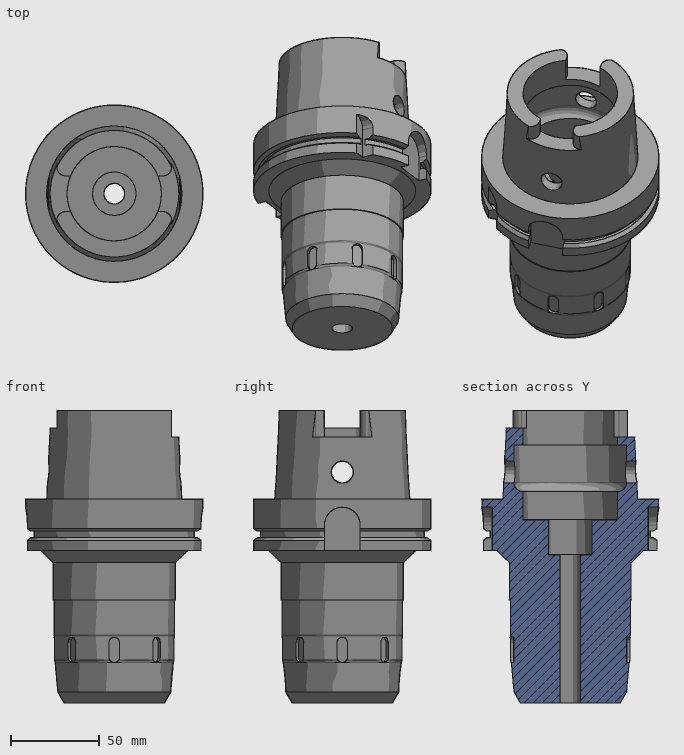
import cadquery as cq
import math


total_length = 165.0
shank_length = 50.0
bottom_z = shank_length - total_length

taper_base_radius = 38.1
taper_top_radius = 35.6
mouth_radius = 26.5
mouth_depth = 19.6
clamp_bore_radius = 31.7
clamp_bore_straight_end = 40.6
clamp_bore_fillet = clamp_bore_radius - mouth_radius
inner_bore_depth = 61.5
coolant_bore_radius = 12.2
coolant_bore_depth = 19.8
through_hole_radius = 5.8
cross_hole_radius = 6.1
cross_hole_depth = 34.8

drive_slot_width = 20.1
drive_slot_depth_minus_x = 9.9
drive_slot_depth_plus_x = 15.0
lug_corner_radius = 5.0
lug_tip_x = 32.3

flange_radius = 50.0
flange_height = 29.0
groove_radius = 46.2
groove_center_depth = 20.0
groove_floor_height = 3.6
lip_chamfer_height = 1.5
lip_chamfer_width = 2.1

keyway_width = 20.1
keyway_floor_x = 44.0
keyway_top_depth = 4.6
notch_corner = 31.8
notch_radius = 7.0
notch_top_depth = 5.0

cone_top_radius = 41.4
cone_height = 6.8
neck_radius = 34.5
neck_height = 21.1
sleeve_radius = 34.0
sleeve_height = 19.6
ring_radius = 33.8
ring_chamfer_height = 0.7
ring_height = 14.0
ring_lower_radius = 33.3
ring_lower_height = 1.5
nose_radius = 31.8
nose_chamfer_height = 6.3
nose_end_radius = 28.2

wrench_slot_count = 8
wrench_slot_width = 6.0
wrench_slot_height = 14.2
wrench_slot_floor_radius = 31.8

cone_bottom = -flange_height - cone_height
neck_bottom = cone_bottom - neck_height
sleeve_bottom = neck_bottom - sleeve_height
ring_top = sleeve_bottom - ring_chamfer_height
ring_bottom = sleeve_bottom - ring_height
nose_top = ring_bottom - ring_lower_height

overrun = 8.2


def make_body():
    """Solid of revolution without bores: shank, flange and chuck body."""
    groove_top = -groove_center_depth + groove_floor_height / 2
    groove_bottom = -groove_center_depth - groove_floor_height / 2
    chamfer_inner_radius = flange_radius - lip_chamfer_width
    outline = [
        (0, shank_length),
        (taper_top_radius, shank_length),
        (taper_base_radius, 0),
        (flange_radius, 0),
        (flange_radius, groove_top + lip_chamfer_height),
        (chamfer_inner_radius, groove_top),
        (groove_radius, groove_top),
        (groove_radius, groove_bottom),
        (chamfer_inner_radius, groove_bottom),
        (flange_radius, groove_bottom - lip_chamfer_height),
        (flange_radius, -flange_height),
        (cone_top_radius, -flange_height),
        (neck_radius, cone_bottom),
        (neck_radius, neck_bottom),
        (sleeve_radius, neck_bottom),
        (sleeve_radius, sleeve_bottom),
        (ring_radius, ring_top),
        (ring_radius, ring_bottom),
        (ring_lower_radius, nose_top),
        (nose_radius, bottom_z + nose_chamfer_height),
        (nose_end_radius, bottom_z),
        (0, bottom_z),
    ]
    return cq.Workplane("XZ").polyline(outline).close().revolve(360, (0, 0), (0, 1))


def make_bores():
    """Stepped central bore, open through the whole holder."""
    mouth_bottom = shank_length - mouth_depth
    inner_bottom = shank_length - inner_bore_depth
    coolant_bottom = inner_bottom - coolant_bore_depth
    fillet_top = shank_length - clamp_bore_straight_end
    fillet_bottom = fillet_top - clamp_bore_fillet
    fillet_reach = clamp_bore_fillet * math.sqrt(0.5)
    fillet_mid = (mouth_radius + fillet_reach, fillet_top - fillet_reach)
    return (
        cq.Workplane("XZ")
        .moveTo(0, shank_length)
        .lineTo(mouth_radius, shank_length)
        .lineTo(mouth_radius, mouth_bottom)
        .lineTo(clamp_bore_radius, mouth_bottom)
        .lineTo(clamp_bore_radius, fillet_top)
        .threePointArc(fillet_mid, (mouth_radius, fillet_bottom))
        .lineTo(mouth_radius, inner_bottom)
        .lineTo(coolant_bore_radius, inner_bottom)
        .lineTo(coolant_bore_radius, coolant_bottom)
        .lineTo(through_hole_radius, coolant_bottom)
        .lineTo(through_hole_radius, bottom_z)
        .lineTo(0, bottom_z)
        .close()
        .revolve(360, (0, 0), (0, 1))
    )


def make_cross_hole():
    """Radial hole along X through both walls of the shank."""
    return (
        cq.Workplane("YZ")
        .center(0, shank_length - cross_hole_depth)
        .circle(cross_hole_radius)
        .extrude(taper_base_radius, both=True)
    )


def make_drive_slot(side, depth):
    """Slot in the shank top on the +X or -X side (side = 1 or -1), with rounded lug corners."""
    half_width = drive_slot_width / 2
    arc_start_x = lug_tip_x - lug_corner_radius
    arc_end_y = half_width + lug_corner_radius
    arc_shift = lug_corner_radius * math.sqrt(0.5)
    arc_mid = (arc_start_x + arc_shift, arc_end_y - arc_shift)
    outer_x = lug_tip_x + overrun
    outer_y = arc_end_y + overrun
    return (
        cq.Workplane("XY", origin=(0, 0, shank_length - depth))
        .moveTo(0, -half_width)
        .lineTo(side * arc_start_x, -half_width)
        .threePointArc((side * arc_mid[0], -arc_mid[1]), (side * lug_tip_x, -arc_end_y))
        .lineTo(side * lug_tip_x, -outer_y)
        .lineTo(side * outer_x, -outer_y)
        .lineTo(side * outer_x, outer_y)
        .lineTo(side * lug_tip_x, outer_y)
        .lineTo(side * lug_tip_x, arc_end_y)
        .threePointArc((side * arc_mid[0], arc_mid[1]), (side * arc_start_x, half_width))
        .lineTo(0, half_width)
        .close()
        .extrude(depth)
    )


def make_round_topped_slot(center_y, width, top_depth, floor_x, side):
    """Slot milled along X into the flange: flat floor, semicircular top, open at the bottom."""
    radius = width / 2
    top_z = -top_depth
    return (
        cq.Workplane("YZ", origin=(side * floor_x, 0, 0))
        .moveTo(center_y - radius, -flange_height)
        .lineTo(center_y - radius, top_z - radius)
        .threePointArc((center_y, top_z), (center_y + radius, top_z - radius))
        .lineTo(center_y + radius, -flange_height)
        .close()
        .extrude(side * (flange_radius + overrun - floor_x))
    )


def make_wrench_slots():
    """Evenly spaced flat-floored oblong slots around the clamping ring."""
    center_z = nose_top + wrench_slot_height / 2
    slot = (
        cq.Workplane("YZ", origin=(wrench_slot_floor_radius, 0, center_z))
        .slot2D(wrench_slot_height, wrench_slot_width, 90)
        .extrude(overrun)
    )
    angle_step = 360 / wrench_slot_count
    slots = cq.Workplane("XY")
    for index in range(wrench_slot_count):
        slots = slots.add(slot.rotate((0, 0, 0), (0, 0, 1), index * angle_step))
    return slots.combine()


result = make_body().cut(make_bores()).cut(make_cross_hole())
result = result.cut(make_drive_slot(-1, drive_slot_depth_minus_x))
result = result.cut(make_drive_slot(1, drive_slot_depth_plus_x))
for keyway_side in (-1, 1):
    keyway = make_round_topped_slot(0, keyway_width, keyway_top_depth, keyway_floor_x, keyway_side)
    result = result.cut(keyway)
notch_center_y = notch_corner + notch_radius
notch = make_round_topped_slot(notch_center_y, 2 * notch_radius, notch_top_depth, notch_corner, -1)
result = result.cut(notch)
result = result.cut(make_wrench_slots())